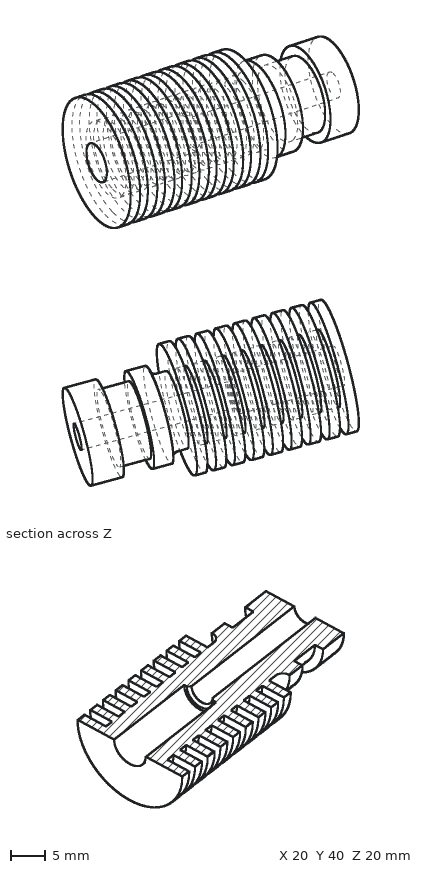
import cadquery as cq

length = 40.0
fin_diameter = 20.0
core_diameter = 11.8
collar_diameter = 14.9

fin_count = 9
fin_thickness = 1.6
fin_stack_length = 24.8
fin_pitch = (fin_stack_length - fin_thickness) / (fin_count - 1)

head_length = 4.8
groove_length = 4.65
collar_length = 2.95
fillet_radius = 1.4

counterbore_diameter = 6.0
counterbore_depth = 16.0
countersink_diameter = 5.0
bore_diameter = 4.0
countersink_depth = (countersink_diameter - bore_diameter) / 2

front_y = -length / 2
back_y = length / 2
head_y = back_y - head_length
collar_y = head_y - groove_length - collar_length


def cylinder(diameter, start_y, height):
    """Cylinder on the Y axis, running from start_y toward +Y."""
    plane = cq.Workplane("XZ", origin=(0, start_y, 0))
    return plane.circle(diameter / 2).extrude(-height)


def collar_fillet():
    """Concave ring that blends the core into the collar."""
    core_radius = core_diameter / 2
    rim_radius = core_radius + fillet_radius
    foot_y = collar_y - fillet_radius
    arc_offset = fillet_radius * 0.5**0.5
    arc_middle = (rim_radius - arc_offset, foot_y + arc_offset)
    profile = (
        cq.Workplane("XY")
        .moveTo(0, foot_y)
        .lineTo(core_radius, foot_y)
        .threePointArc(arc_middle, (rim_radius, collar_y))
        .lineTo(0, collar_y)
        .close()
    )
    return profile.revolve(360, (0, 0, 0), (0, 1, 0))


body = cylinder(core_diameter, front_y, length)
body = body.union(cylinder(collar_diameter, head_y, head_length))
body = body.union(cylinder(collar_diameter, collar_y, collar_length))
body = body.union(collar_fillet())
for index in range(fin_count):
    fin_y = front_y + index * fin_pitch
    body = body.union(cylinder(fin_diameter, fin_y, fin_thickness))

counterbore_floor_y = front_y + counterbore_depth
countersink = (
    cq.Workplane("XY")
    .moveTo(0, counterbore_floor_y)
    .lineTo(countersink_diameter / 2, counterbore_floor_y)
    .lineTo(bore_diameter / 2, counterbore_floor_y + countersink_depth)
    .lineTo(0, counterbore_floor_y + countersink_depth)
    .close()
    .revolve(360, (0, 0, 0), (0, 1, 0))
)
body = body.cut(cylinder(bore_diameter, front_y, length))
body = body.cut(cylinder(counterbore_diameter, front_y, counterbore_depth))
result = body.cut(countersink)